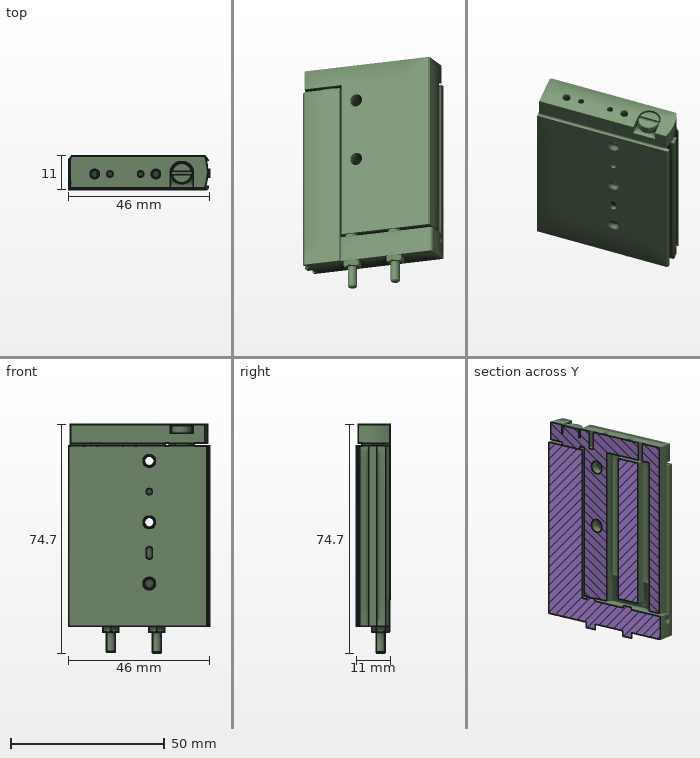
import cadquery as cq


overall_height = 74.7

base_width = 45.5
base_height = 58.95
plate_depth = 1.95
end_block_height = 8.1
end_block_depth = 10.2
end_block_chamfer = 0.45
cylinder_left = 32.1
cylinder_depth = 10.8
front_corner_chamfer = 0.5
back_corner_chamfer = 1.05

groove_floor = 44.3
lip_front = 1.1
lip_back = 9.6
rib_tip = 46.0
rib_depth = 2.7
rib_middle = 5.3

guide_middle = 13.45
rail_width = 8.4
rail_top = 6.35
rail_bottom = 10.6
carriage_width = 16.4
carriage_top = 3.7
carriage_bottom = 17.5

gap = 0.9
table_left = 0.5
table_front = 0.5
table_back = 11.0
table_bottom = 8.9
slide_front = 2.6
slide_right = 31.5
end_plate_bottom = base_height + gap
end_plate_thickness = 6.1
table_top = end_plate_bottom + end_plate_thickness
end_plate_side = 44.45
end_plate_bulge = 45.35
table_chamfer = 0.5
channel_width = 17.3
channel_back = 6.7

pitch = 10.0
front_hole_x = 26.3
top_hole_z = 54.0
bolt_hole = 3.2
bolt_hole_rim = 4.0
access_hole = 4.1
dowel_hole = 2.0
dowel_depth = 1.5
dowel_slot_length = 4.0

top_hole_y = 5.1
tapped_hole = 2.5
tapped_hole_rim = 3.0
top_holes_middle = 18.45
left_tapped_depth = 6.7
right_tapped_depth = 6.0
top_dowel_depth = 3.0

port_y = 2.5
port_z = 6.0
port_diameter = 2.0
port_rim = 2.5
port_depth = 4.5

screw_x = 36.9
screw_y = 5.4
pocket_diameter = 7.55
pocket_depth = 3.0
head_diameter = 6.9
head_chamfer = 0.2
head_drop = 0.2
driver_slot_width = 1.1
driver_slot_depth = 0.75
rod_nut_diameter = 8.2

stop_x = 13.75
stop_spacing = 1.5 * pitch
stop_y = 7.9
stop_lengths = (8.5, overall_height - table_top)
stop_diameter = 3.0
stop_tip_diameter = 2.5
stop_tip_length = 0.45
stop_nut_diameter = 6.0
stop_nut_height = 1.9
stop_nut_corner_chamfer = 0.3
bumper_diameter = 5.0


def block(x0, x1, y0, y1, z0, z1):
    """Box between two opposite corners."""
    return cq.Workplane("XY").box(x1 - x0, y1 - y0, z1 - z0, centered=False).translate((x0, y0, z0))


def centred_block(width, y0, y1, z0, z1):
    """Box centred on the guide in X."""
    return block(guide_middle - width / 2, guide_middle + width / 2, y0, y1, z0, z1)


def drilled_hole(diameter, rim, depth, point, direction):
    """Cutter for a hole whose mouth widens to the rim diameter with a 45 degree chamfer."""
    radius = diameter / 2
    chamfer = (rim - diameter) / 2
    hole = cq.Solid.makeCylinder(radius, depth, cq.Vector(*point), cq.Vector(*direction))
    if chamfer > 0:
        mouth = cq.Solid.makeCone(rim / 2, radius, chamfer, cq.Vector(*point), cq.Vector(*direction))
        hole = hole.fuse(mouth)
    return hole


def hexagon(corner_diameter, x, y, z0, z1, turn):
    """Hexagonal prism along Z, with its corners turned from the X axis."""
    prism = cq.Workplane("XY").polygon(6, corner_diameter).extrude(z1 - z0)
    return prism.rotate((0, 0, 0), (0, 0, 1), turn).translate((x, y, z0))


def cylinder(diameter, x, y, z0, z1):
    """Cylinder along Z."""
    return cq.Workplane("XY", origin=(x, y, z0)).circle(diameter / 2).extrude(z1 - z0)


def base_shell():
    """Front plate, full-depth cylinder block on the right and end block at the bottom."""
    right_part = (
        cq.Workplane("XY")
        .moveTo(cylinder_left, 0)
        .lineTo(base_width - front_corner_chamfer, 0)
        .lineTo(base_width, front_corner_chamfer)
        .lineTo(base_width, lip_front)
        .lineTo(groove_floor, lip_front)
        .lineTo(groove_floor, lip_back)
        .lineTo(base_width, lip_back)
        .lineTo(base_width - back_corner_chamfer, cylinder_depth)
        .lineTo(cylinder_left, cylinder_depth)
        .close()
        .extrude(base_height)
    )
    rib = block(
        groove_floor, rib_tip, rib_middle - rib_depth / 2, rib_middle + rib_depth / 2, 0, base_height
    )
    plate = block(0, cylinder_left, 0, plate_depth, 0, base_height)
    end_block = block(0, cylinder_left, 0, end_block_depth, 0, end_block_height)
    end_block = end_block.edges("|Z and <X and >Y").chamfer(end_block_chamfer)
    return right_part.union(rib).union(plate).union(end_block)


def guide_rail():
    """Narrow rail with a wider carriage along its foot."""
    rail = centred_block(rail_width, plate_depth, rail_top, rail_bottom, base_height)
    carriage = centred_block(carriage_width, plate_depth, carriage_top, carriage_bottom, base_height)
    return rail.union(carriage)


def stop(x, length):
    """Threaded stop with a lock nut below the end block and a bumper that meets the table."""
    stud = cylinder(stop_diameter, x, stop_y, -length, 0)
    stud = stud.faces("<Z").chamfer(stop_tip_length, (stop_diameter - stop_tip_diameter) / 2)
    nut = hexagon(stop_nut_diameter, x, stop_y, -stop_nut_height, 0, 30)
    envelope = cylinder(stop_nut_diameter, x, stop_y, -stop_nut_height, 0)
    nut = nut.intersect(envelope.faces("<Z").chamfer(stop_nut_corner_chamfer))
    bumper = cylinder(bumper_diameter, x, stop_y, end_block_height, table_bottom)
    return stud.union(nut).union(bumper)


def make_base():
    base = base_shell().union(guide_rail())
    for index, length in enumerate(stop_lengths):
        base = base.union(stop(stop_x + index * stop_spacing, length))

    for index in range(3):
        point = (front_hole_x, 0, top_hole_z - 2 * index * pitch)
        base = base.cut(drilled_hole(bolt_hole, bolt_hole_rim, plate_depth, point, (0, 1, 0)))
    dowel_point = (front_hole_x, 0, top_hole_z - pitch)
    base = base.cut(drilled_hole(dowel_hole, dowel_hole, dowel_depth, dowel_point, (0, 1, 0)))
    slot = (
        cq.Workplane("XZ", origin=(front_hole_x, 0, top_hole_z - 3 * pitch))
        .slot2D(dowel_slot_length, dowel_hole, 90)
        .extrude(-dowel_depth)
    )
    base = base.cut(slot)

    port = drilled_hole(port_diameter, port_rim, port_depth, (0, port_y, port_z), (1, 0, 0))
    return base.cut(port)


def end_plate():
    """Plate over the top of the base, with a bulging right end."""
    return (
        cq.Workplane("XY", origin=(0, 0, end_plate_bottom))
        .moveTo(table_left, table_front)
        .lineTo(end_plate_side, table_front)
        .threePointArc(
            (end_plate_bulge, (table_front + table_back) / 2), (end_plate_side, table_back)
        )
        .lineTo(table_left, table_back)
        .close()
        .extrude(end_plate_thickness)
    )


def screw_pocket():
    """Round pocket for the screw head, open to the front."""
    floor = table_top - pocket_depth
    radius = pocket_diameter / 2
    mouth = block(screw_x - radius, screw_x + radius, table_front, screw_y, floor, table_top)
    return cylinder(pocket_diameter, screw_x, screw_y, floor, table_top).union(mouth)


def rod_screw():
    """Slotted screw head in the pocket."""
    head_top = table_top - head_drop
    radius = head_diameter / 2
    head = cylinder(head_diameter, screw_x, screw_y, table_top - pocket_depth, head_top)
    head = head.faces(">Z").chamfer(head_chamfer)
    driver_slot = block(
        screw_x - radius,
        screw_x + radius,
        screw_y - driver_slot_width / 2,
        screw_y + driver_slot_width / 2,
        head_top - driver_slot_depth,
        head_top,
    )
    return head.cut(driver_slot)


def make_table():
    slide = block(table_left, slide_right, slide_front, table_back, table_bottom, end_plate_bottom)
    table = slide.union(end_plate()).edges("|Z and <X and >Y").chamfer(table_chamfer)
    table = table.cut(
        centred_block(channel_width, slide_front, channel_back, table_bottom, end_plate_bottom)
    )
    table = table.cut(screw_pocket()).union(rod_screw())
    table = table.union(
        hexagon(rod_nut_diameter, screw_x, screw_y, base_height, end_plate_bottom, 0)
    )

    for index in range(2):
        point = (front_hole_x, slide_front, top_hole_z - 2 * index * pitch)
        table = table.cut(
            drilled_hole(access_hole, access_hole, table_back - slide_front, point, (0, 1, 0))
        )

    for side, depth in ((-1, left_tapped_depth), (1, right_tapped_depth)):
        tapped_point = (top_holes_middle + side * pitch, top_hole_y, table_top)
        table = table.cut(
            drilled_hole(tapped_hole, tapped_hole_rim, depth, tapped_point, (0, 0, -1))
        )
        dowel_point = (top_holes_middle + side * pitch / 2, top_hole_y, table_top)
        table = table.cut(
            drilled_hole(dowel_hole, dowel_hole, top_dowel_depth, dowel_point, (0, 0, -1))
        )
    return table


base = make_base()
table = make_table()
result = cq.Compound.makeCompound([base.val(), table.val()])